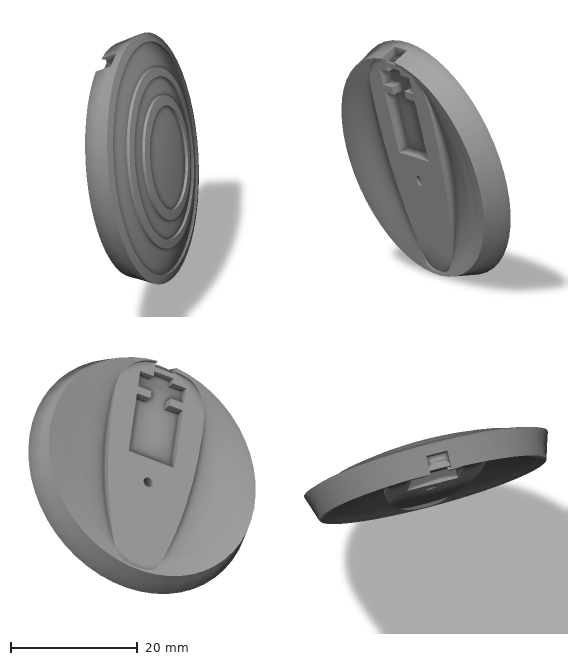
import cadquery as cq
import math

TILT = 15.0

RIM_RADIUS = 19.93
BACK_RADIUS = 18.57
DEPTH = 4.25
DOME_RADIUS = 62.98
STEP = 0.48
RIM_INNER = 18.5
RINGS = [(14.35, 12.9), (9.9, 8.25)]

PAD_LEVEL = -3.63
PAD_HALF_OUTLINE = [(4.9, 17.25), (7.17, 14.9), (8.1, 9.85), (7.1, -3.85), (4.62, -14.25), (2.95, -17.35)]
PAD_END = 18.15

POCKET_DEPTH = 1.85
POCKET_WIDTH = 8.35
POCKET_BOTTOM = 1.55
TAB_BOTTOM = 12.0
TAB_TOP = 13.27
POCKET_TOP = 16.0
NECK_WIDTH = 3.45
NECK_TOP = 16.85
POCKET_END_RADIUS = 15.25
POCKET_END_TAPER = 75.0

HOLE_DIAMETER = 1.65
HOLE_Y = -2.55
HOLE_DEPTH = 2.4

NOTCH_BOTTOM = 17.65
NOTCH_LEVEL = -1.45
LIP_THICKNESS = 0.3
GROOVE_WIDTH = 0.88
GROOVE_DEPTH = 0.2


def sphere_drop(radius):
    """Drop of the dome below its apex at a distance from the axis."""
    return DOME_RADIUS - math.sqrt(DOME_RADIUS**2 - radius**2)


RING_APEX = sphere_drop(RIM_RADIUS)
BAND_APEX = RING_APEX - STEP
HOLLOW_APEX = sphere_drop(BACK_RADIUS) - DEPTH


def dome_point(radius, apex):
    return (radius, apex - sphere_drop(radius))


def dome_arc(profile, start, end, apex):
    """Add the dome arc that runs between two radii."""
    middle = (start + end) / 2
    return profile.threePointArc(dome_point(middle, apex), dome_point(end, apex))


def make_shell():
    profile = cq.Workplane("XZ").moveTo(*dome_point(0, HOLLOW_APEX))
    profile = dome_arc(profile, 0, BACK_RADIUS, HOLLOW_APEX).lineTo(RIM_RADIUS, 0)
    profile = dome_arc(profile, RIM_RADIUS, RIM_INNER, RING_APEX)
    band_start = RIM_INNER
    for outer, inner in RINGS:
        profile = profile.lineTo(*dome_point(band_start, BAND_APEX))
        profile = dome_arc(profile, band_start, outer, BAND_APEX)
        profile = profile.lineTo(*dome_point(outer, RING_APEX))
        profile = dome_arc(profile, outer, inner, RING_APEX)
        band_start = inner
    profile = profile.lineTo(*dome_point(band_start, BAND_APEX))
    profile = dome_arc(profile, band_start, 0, BAND_APEX)
    return profile.close().revolve(360, (0, 0), (0, 1))


def pad_prism(start, end):
    """Egg-shaped prism of the pad between two levels."""
    left_side = [(-x, y) for x, y in reversed(PAD_HALF_OUTLINE)]
    outline = [(0, PAD_END)] + PAD_HALF_OUTLINE + [(0, -PAD_END)] + left_side
    return cq.Workplane("XY").workplane(offset=start).spline(outline, periodic=True).close().extrude(end - start)


def box_between(width, y_start, y_end, z_start, z_end):
    """Box centred across the disc's width."""
    box = cq.Workplane("XY").box(width, y_end - y_start, z_end - z_start, centered=(True, False, False))
    return box.translate((0, y_start, z_start))


def make_blank():
    """Disc without its hollow, bounded by the sunken front dome."""
    profile = cq.Workplane("XZ").moveTo(0, -DEPTH).lineTo(BACK_RADIUS, -DEPTH)
    profile = profile.lineTo(*dome_point(BACK_RADIUS, BAND_APEX))
    return dome_arc(profile, BACK_RADIUS, 0, BAND_APEX).close().revolve(360, (0, 0), (0, 1))


def add_pad(shell):
    """Fill the hollow up to the pad face and sink the pad's tips into the hollow's edge."""
    solid_middle = (RING_APEX + HOLLOW_APEX) / 2
    pad = pad_prism(PAD_LEVEL, solid_middle).intersect(make_blank())
    return shell.union(pad).cut(pad_prism(-DEPTH, PAD_LEVEL))


def make_pocket():
    """Pocket with two side tabs and a neck; its end wall is a shallow cone opening backwards."""
    floor = PAD_LEVEL + POCKET_DEPTH
    pocket = box_between(POCKET_WIDTH, POCKET_BOTTOM, TAB_BOTTOM, -DEPTH, floor)
    pocket = pocket.union(box_between(NECK_WIDTH, POCKET_BOTTOM, NECK_TOP, -DEPTH, floor))
    pocket = pocket.union(box_between(POCKET_WIDTH, TAB_TOP, POCKET_TOP, -DEPTH, floor))
    cone_height = floor + DEPTH
    end_cone = cq.Workplane("XY").workplane(offset=floor).circle(POCKET_END_RADIUS)
    end_cone = end_cone.extrude(-cone_height, taper=-POCKET_END_TAPER)
    return pocket.intersect(end_cone)


def make_hole():
    hole = cq.Workplane("XY").workplane(offset=PAD_LEVEL).center(0, HOLE_Y)
    return hole.circle(HOLE_DIAMETER / 2).extrude(HOLE_DEPTH)


def make_notch():
    notch = box_between(NECK_WIDTH, NOTCH_BOTTOM, RIM_RADIUS, -DEPTH, NOTCH_LEVEL)
    groove_start = PAD_LEVEL + LIP_THICKNESS
    groove_bottom = NOTCH_BOTTOM - GROOVE_DEPTH
    groove = box_between(NECK_WIDTH, groove_bottom, RIM_RADIUS, groove_start, groove_start + GROOVE_WIDTH)
    return notch.union(groove)


disc = add_pad(make_shell()).cut(make_pocket()).cut(make_hole()).cut(make_notch())

tilt_angle = math.radians(TILT)
tilted_plane = cq.Plane(
    origin=(0, 0, 0),
    xDir=(0, 1, 0),
    normal=(math.cos(tilt_angle), 0, math.sin(tilt_angle)),
)
result = cq.Workplane("XY").newObject([disc.val().moved(cq.Location(tilted_plane))])